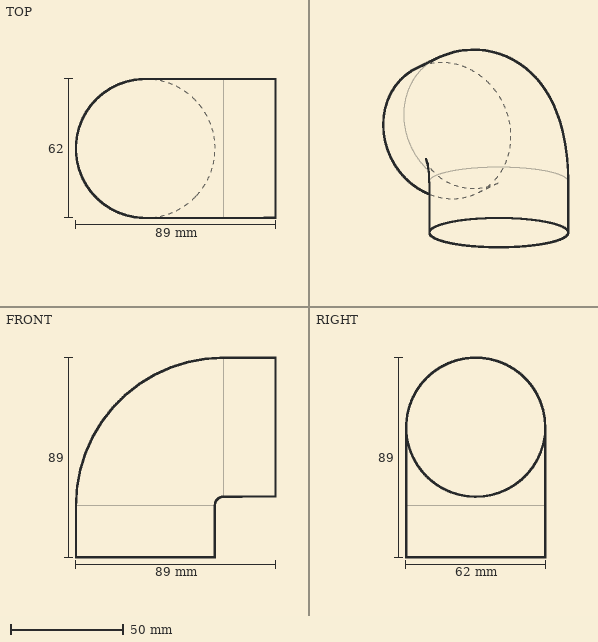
import cadquery as cq

outer_diameter = 62.0
overall_reach = 89.0
leg_length = 23.2

outer_radius = outer_diameter / 2
bend_radius = overall_reach - outer_radius - leg_length
bend_angle = 90.0


def vertical_leg():
    """Straight leg standing on the XY plane, centred on the Z axis."""
    return cq.Workplane("XY").circle(outer_radius).extrude(leg_length)


def bend():
    """Quarter torus that turns the pipe from +Z to +X."""
    return (
        cq.Workplane("XY", origin=(0, 0, leg_length))
        .circle(outer_radius)
        .revolve(bend_angle, (bend_radius, 0, 0), (bend_radius, 1, 0))
    )


def horizontal_leg():
    """Straight leg running along +X from the upper end of the bend."""
    return (
        cq.Workplane("YZ", origin=(bend_radius, 0, leg_length + bend_radius))
        .circle(outer_radius)
        .extrude(leg_length)
    )


result = vertical_leg().union(bend()).union(horizontal_leg())